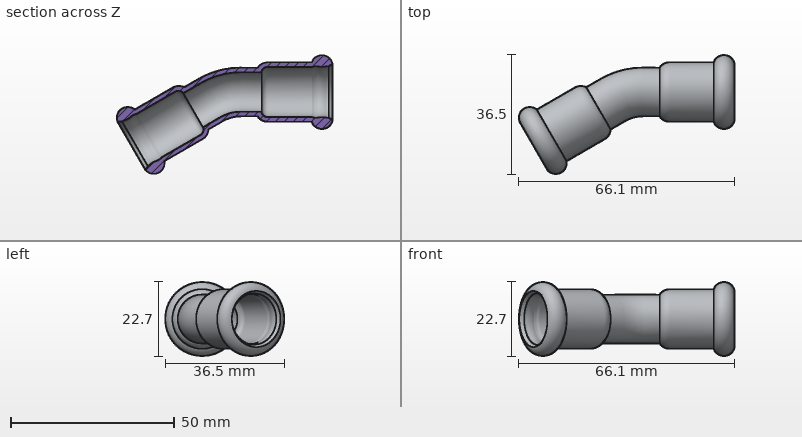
import cadquery as cq
import math


bend_angle = 30.0
bend_radius = 18.0
neck_outer_radius = 15.0 / 2
neck_bore_radius = 12.0 / 2

socket_length = 28.23
socket_outer_radius = 18.3 / 2
socket_bore_radius = 15.3 / 2
shoulder_depth = 20.0
shoulder_round = 3.6
shoulder_bore_round = 1.85
shoulder_mid_angle = 60.0

bead_outer_radius = 22.71 / 2
bead_round = 3.35
bead_centre_radius = bead_outer_radius - bead_round

mouth_radius = 8.6
seat_radius = 15.7 / 2
mouth_cone_depth = 1.3
seal_start_depth = 2.0
seal_end_depth = 4.7
seal_crest_radius = 7.65
seat_end_depth = 5.6
bore_start_depth = 6.45


def axial_reach(round_radius, radial_offset):
    """Axial distance from the centre of a round to its point at a radial offset."""
    return math.sqrt(round_radius**2 - radial_offset**2)


def round_point(centre, round_radius, angle):
    """Point (depth, radius) on a round, the angle being from the axis direction, in degrees."""
    turn = math.radians(angle)
    return (
        centre[0] + round_radius * math.cos(turn),
        centre[1] + round_radius * math.sin(turn),
    )


def make_socket():
    """Hollow socket with its mouth at X = 0 and its neck end at X = socket_length."""
    bead_top = (bead_round, bead_outer_radius)
    mouth_edge_depth = bead_round - axial_reach(bead_round, mouth_radius - bead_centre_radius)
    bead_back_depth = bead_round + axial_reach(bead_round, socket_outer_radius - bead_centre_radius)

    shoulder_centre = (shoulder_depth, socket_outer_radius - shoulder_round)
    shoulder_end_depth = shoulder_depth + axial_reach(
        shoulder_round, neck_outer_radius - shoulder_centre[1]
    )
    bore_centre = (shoulder_depth, socket_bore_radius - shoulder_bore_round)
    bore_end_depth = shoulder_depth + axial_reach(
        shoulder_bore_round, neck_bore_radius - bore_centre[1]
    )
    seal_middle_depth = (seal_start_depth + seal_end_depth) / 2

    profile = (
        cq.Workplane("XY")
        .moveTo(mouth_edge_depth, mouth_radius)
        .threePointArc(bead_top, (bead_back_depth, socket_outer_radius))
        .lineTo(shoulder_depth, socket_outer_radius)
        .threePointArc(
            round_point(shoulder_centre, shoulder_round, shoulder_mid_angle),
            (shoulder_end_depth, neck_outer_radius),
        )
        .lineTo(socket_length, neck_outer_radius)
        .lineTo(socket_length, neck_bore_radius)
        .lineTo(bore_end_depth, neck_bore_radius)
        .threePointArc(
            round_point(bore_centre, shoulder_bore_round, shoulder_mid_angle),
            (shoulder_depth, socket_bore_radius),
        )
        .lineTo(bore_start_depth, socket_bore_radius)
        .lineTo(seat_end_depth, seat_radius)
        .lineTo(seal_end_depth, seat_radius)
        .threePointArc(
            (seal_middle_depth, seal_crest_radius),
            (seal_start_depth, seat_radius),
        )
        .lineTo(mouth_cone_depth, seat_radius)
        .close()
    )
    return profile.revolve(360, (0, 0, 0), (1, 0, 0))


def make_bend():
    """Bent tube that starts at the origin, heads toward -X and turns toward -Y."""
    ring = cq.Workplane("YZ").circle(neck_outer_radius).circle(neck_bore_radius)
    return ring.revolve(bend_angle, (-bend_radius, 0, 0), (-bend_radius, 1, 0))


socket = make_socket()
bend_centre = (0, -bend_radius, 0)
bend_axis_end = (0, -bend_radius, 1)

bend = make_bend()
right_socket = socket.rotate((0, 0, 0), (0, 0, 1), 180).translate((socket_length, 0, 0))
left_socket = socket.translate((-socket_length, 0, 0)).rotate(bend_centre, bend_axis_end, bend_angle)

result = right_socket.union(bend).union(left_socket)